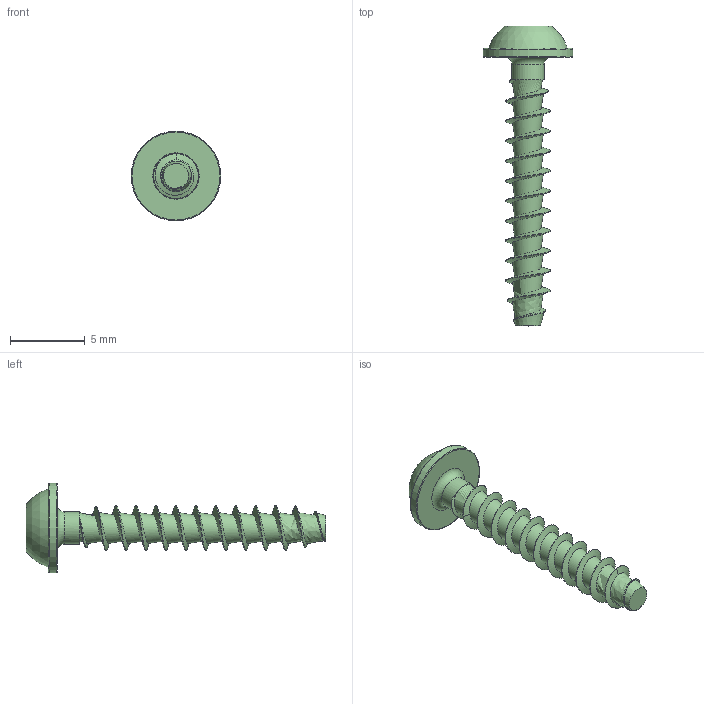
import math

import cadquery as cq


FLANGE_RADIUS = 3.0
FLANGE_THICKNESS = 0.6
FLANGE_EDGE_ROUND = 0.05
HEAD_HEIGHT = 2.1
DOME_RADIUS = 2.75
DOME_TOP_RADIUS = 1.55

NECK_RADIUS = 1.08
NECK_LENGTH = 1.5
NECK_FILLET = 0.47

SHANK_LENGTH = 18.0
CORE_LARGE_RADIUS = 1.06
CORE_SMALL_RADIUS = 0.85
CORE_HEART_RADIUS = 0.78
BAND_BASE_RADIUS = 0.7
TIP_RADIUS = 0.84
TIP_TAPER_LENGTH = 0.9

PITCH = 1.337
BAND_WIDTH = 0.95 * PITCH
CREST_RADIUS = 1.5
CREST_WIDTH = 0.03
FLANK_HALF_ANGLE = 16.0
FIN_HEIGHT = 0.8
CREST_DEPTH_AT_X = 2.26
LEAD_START_RADIUS = 1.2
LEAD_START_DEPTH = CREST_DEPTH_AT_X - 0.75 * PITCH
LEAD_END_DEPTH = LEAD_START_DEPTH + 1.25 * PITCH
RUNOUT_START_DEPTH = LEAD_START_DEPTH + 11 * PITCH
RUNOUT_END_DEPTH = SHANK_LENGTH + 0.1 * PITCH
RUNOUT_END_RADIUS = 0.83
POINTS_PER_TURN = 16


def crest_angle(depth):
    """Angle about the axis, from +X toward +Z, of the thread crest at a depth."""
    return 2 * math.pi * (depth - CREST_DEPTH_AT_X) / PITCH


def make_head_and_neck():
    """Revolve the dome, flange, neck fillet and neck about the Y axis."""
    dome_center = HEAD_HEIGHT - math.sqrt(DOME_RADIUS**2 - DOME_TOP_RADIUS**2)
    dome_base_radius = math.sqrt(DOME_RADIUS**2 - (FLANGE_THICKNESS - dome_center) ** 2)
    mid_height = (HEAD_HEIGHT + FLANGE_THICKNESS) / 2
    mid_radius = math.sqrt(DOME_RADIUS**2 - (mid_height - dome_center) ** 2)
    flange_flat = FLANGE_RADIUS - FLANGE_EDGE_ROUND
    return (
        cq.Workplane("XY")
        .moveTo(0, HEAD_HEIGHT)
        .lineTo(DOME_TOP_RADIUS, HEAD_HEIGHT)
        .threePointArc((mid_radius, mid_height), (dome_base_radius, FLANGE_THICKNESS))
        .lineTo(flange_flat, FLANGE_THICKNESS)
        .radiusArc((FLANGE_RADIUS, FLANGE_THICKNESS - FLANGE_EDGE_ROUND), FLANGE_EDGE_ROUND)
        .lineTo(FLANGE_RADIUS, FLANGE_EDGE_ROUND)
        .radiusArc((flange_flat, 0), FLANGE_EDGE_ROUND)
        .lineTo(NECK_RADIUS + NECK_FILLET, 0)
        .radiusArc((NECK_RADIUS, -NECK_FILLET), -NECK_FILLET)
        .lineTo(NECK_RADIUS, -NECK_LENGTH)
        .lineTo(0, -NECK_LENGTH)
        .close()
        .revolve(360, (0, 0, 0), (0, 1, 0))
    )


def helix_point(crest_depth, radius, offset):
    """A point beside the helix: at a radius, and deeper than the crest by the offset."""
    angle = crest_angle(crest_depth)
    return cq.Vector(radius * math.cos(angle), -crest_depth - offset, radius * math.sin(angle))


def core_section(depth):
    """Corners of the tapering core band, which spans from one crest to near the next."""
    taper = (CORE_LARGE_RADIUS - CORE_SMALL_RADIUS) / PITCH
    end_radius = CORE_LARGE_RADIUS - taper * BAND_WIDTH
    return [
        helix_point(depth, BAND_BASE_RADIUS, 0),
        helix_point(depth, CORE_LARGE_RADIUS, 0),
        helix_point(depth, end_radius, BAND_WIDTH),
        helix_point(depth, BAND_BASE_RADIUS, BAND_WIDTH),
    ]


def fin_section(depth, crest_radius):
    """Corners of the thread fin: a narrow crest on a wider base buried in the core."""
    half_crest = CREST_WIDTH / 2
    half_base = half_crest + FIN_HEIGHT * math.tan(math.radians(FLANK_HALF_ANGLE))
    base_radius = crest_radius - FIN_HEIGHT
    return [
        helix_point(depth, base_radius, -half_base),
        helix_point(depth, crest_radius, -half_crest),
        helix_point(depth, crest_radius, half_crest),
        helix_point(depth, base_radius, half_base),
    ]


def helical_faces(section, start, end):
    """The faces swept by a section whose values run evenly from start to end.

    The first value is the crest depth; the rest are passed on to the section.
    """
    steps = math.ceil(POINTS_PER_TURN * (end[0] - start[0]) / PITCH)
    shares = [step / steps for step in range(steps + 1)]
    corners = [section(*(a + (b - a) * share for a, b in zip(start, end))) for share in shares]
    edges = [cq.Edge.makeSpline(list(path), parameters=shares) for path in zip(*corners)]
    return [cq.Face.makeRuledSurface(edges[i - 1], edges[i]) for i in range(len(edges))]


def make_helical_solid(section, stations):
    """Sweep a section along the helix through all stations and cap both ends."""
    faces = []
    for start, end in zip(stations, stations[1:]):
        faces += helical_faces(section, start, end)
    for station in (stations[0], stations[-1]):
        outline = cq.Wire.makePolygon(section(*station), close=True)
        faces.append(cq.Face.makeFromWires(outline))
    return cq.Workplane(cq.Solid.makeSolid(cq.Shell.makeShell(faces)).fix())


def make_shank_cylinder(radius):
    """A cylinder from the end of the neck to the tip."""
    return (
        cq.Workplane("XZ", origin=(0, -NECK_LENGTH, 0))
        .circle(radius)
        .extrude(SHANK_LENGTH - NECK_LENGTH)
    )


def make_tip_envelope():
    """A cylinder around the core that narrows to the tip radius at its end."""
    return (
        cq.Workplane("XY")
        .moveTo(0, -NECK_LENGTH)
        .lineTo(CREST_RADIUS, -NECK_LENGTH)
        .lineTo(CREST_RADIUS, TIP_TAPER_LENGTH - SHANK_LENGTH)
        .lineTo(CORE_LARGE_RADIUS, TIP_TAPER_LENGTH - SHANK_LENGTH)
        .lineTo(TIP_RADIUS, -SHANK_LENGTH)
        .lineTo(0, -SHANK_LENGTH)
        .close()
        .revolve(360, (0, 0, 0), (0, 1, 0))
    )


def make_core():
    """Wrap the tapering band around a cylinder, then trim it and taper the tip."""
    band = make_helical_solid(core_section, [(NECK_LENGTH - PITCH,), (RUNOUT_END_DEPTH,)])
    return make_shank_cylinder(CORE_HEART_RADIUS).union(band).intersect(make_tip_envelope())


def make_thread():
    """Sweep the lead-in, full thread and run-out, and trim them to the shank ends."""
    stations = [
        (LEAD_START_DEPTH, LEAD_START_RADIUS),
        (LEAD_END_DEPTH, CREST_RADIUS),
        (RUNOUT_START_DEPTH, CREST_RADIUS),
        (RUNOUT_END_DEPTH, RUNOUT_END_RADIUS),
    ]
    return make_shank_cylinder(FLANGE_RADIUS).intersect(make_helical_solid(fin_section, stations))


result = make_head_and_neck().union(make_core()).union(make_thread())